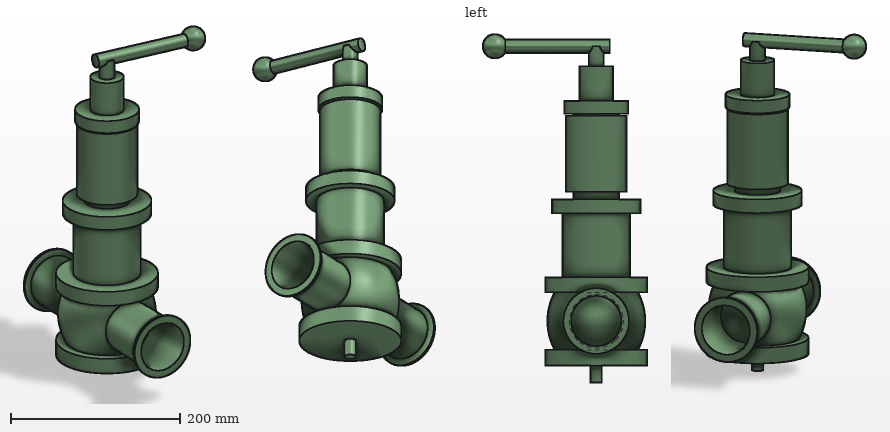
import cadquery as cq

STEM_TOP = 20.0
BASE_FLANGE_TOP = 39.0
BODY_TOP = 106.8
BODY_FLANGE_TOP = 124.5
BONNET_TOP = 200.5
BONNET_FLANGE_TOP = 217.0
LOWER_NECK_TOP = 225.5
ACTUATOR_TOP = 316.0
UPPER_NECK_TOP = 318.0
CAP_FLANGE_TOP = 333.0
HUB_TOP = 374.5
TOTAL_HEIGHT = 412.5

STEM_DIAMETER = 13.5
BODY_FLANGE_DIAMETER = 121.0
BONNET_DIAMETER = 80.0
BONNET_FLANGE_DIAMETER = 105.0
NECK_DIAMETER = 54.0
ACTUATOR_DIAMETER = 72.0
CAP_FLANGE_DIAMETER = 76.0
HUB_DIAMETER = 40.0
POST_DIAMETER = 18.0

BODY_END_RADIUS = 49.5
BODY_MIDDLE_RADIUS = 58.0

PIPE_LENGTH = 250.0
PIPE_DIAMETER = 63.5
BORE_DIAMETER = 59.5
FERRULE_DIAMETER = 77.5
FERRULE_RIM = 3.0
FERRULE_LENGTH = 5.5

BALL_DIAMETER = 29.0
LEVER_DIAMETER = 16.0
LEVER_OVERHANG = 16.0
OVERALL_DEPTH = 194.5

body_middle = (BASE_FLANGE_TOP + BODY_TOP) / 2
lever_height = TOTAL_HEIGHT - BALL_DIAMETER / 2
ball_reach = OVERALL_DEPTH - BODY_FLANGE_DIAMETER / 2 - BALL_DIAMETER / 2


def upright_cylinder(diameter, bottom, top):
    return cq.Workplane("XY").workplane(offset=bottom).circle(diameter / 2).extrude(top - bottom)


def make_body():
    """Barrel with a bulging arc between the base flange and the body flange."""
    return (
        cq.Workplane("XZ")
        .moveTo(0, BASE_FLANGE_TOP)
        .lineTo(BODY_END_RADIUS, BASE_FLANGE_TOP)
        .threePointArc((BODY_MIDDLE_RADIUS, body_middle), (BODY_END_RADIUS, BODY_TOP))
        .lineTo(0, BODY_TOP)
        .close()
        .revolve(360, (0, 0, 0), (0, 1, 0))
    )


def make_pipe():
    """Hollow pipe with a taper-backed clamp ferrule at each end."""
    end = PIPE_LENGTH / 2
    bore_radius = BORE_DIAMETER / 2
    pipe_radius = PIPE_DIAMETER / 2
    rim_radius = FERRULE_DIAMETER / 2
    half_pipe = (
        cq.Workplane("XY")
        .moveTo(0, bore_radius)
        .lineTo(end, bore_radius)
        .lineTo(end, rim_radius)
        .lineTo(end - FERRULE_RIM, rim_radius)
        .lineTo(end - FERRULE_LENGTH, pipe_radius)
        .lineTo(0, pipe_radius)
        .close()
        .revolve(360, (0, 0, 0), (1, 0, 0))
    )
    pipe = half_pipe.union(half_pipe.mirror("YZ"))
    return pipe.translate((0, 0, body_middle))


def make_lever():
    """Horizontal lever toward +Y, ending in a ball."""
    rod = (
        cq.Workplane("XZ", origin=(0, -LEVER_OVERHANG, lever_height))
        .circle(LEVER_DIAMETER / 2)
        .extrude(-(LEVER_OVERHANG + ball_reach))
    )
    ball = cq.Workplane("XY").sphere(BALL_DIAMETER / 2).translate((0, ball_reach, lever_height))
    return rod.union(ball)


lower_stack = [
    (STEM_DIAMETER, STEM_TOP),
    (BODY_FLANGE_DIAMETER, BASE_FLANGE_TOP),
]
upper_stack = [
    (BODY_FLANGE_DIAMETER, BODY_FLANGE_TOP),
    (BONNET_DIAMETER, BONNET_TOP),
    (BONNET_FLANGE_DIAMETER, BONNET_FLANGE_TOP),
    (NECK_DIAMETER, LOWER_NECK_TOP),
    (ACTUATOR_DIAMETER, ACTUATOR_TOP),
    (NECK_DIAMETER, UPPER_NECK_TOP),
    (CAP_FLANGE_DIAMETER, CAP_FLANGE_TOP),
    (HUB_DIAMETER, HUB_TOP),
    (POST_DIAMETER, lever_height),
]

result = make_body().union(make_pipe())
for start, stack in ((0, lower_stack), (BODY_TOP, upper_stack)):
    bottom = start
    for diameter, top in stack:
        result = result.union(upright_cylinder(diameter, bottom, top))
        bottom = top
result = result.union(make_lever())